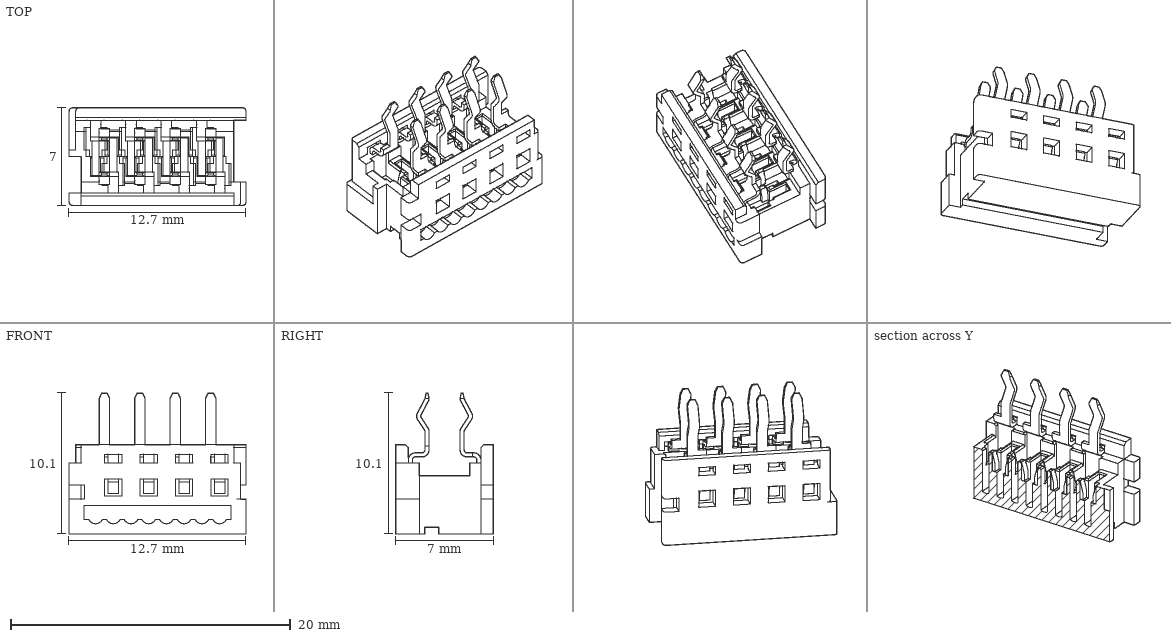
import cadquery as cq
import math

LENGTH = 12.67
DEPTH = 7.0
HALF_LENGTH = LENGTH / 2
HALF_DEPTH = DEPTH / 2
CORNER_RADIUS = 0.25

WALL_TOP = 6.41
STEP_TOP = 5.1
CORE_TOP = 4.2
FOOT_TOP = 2.51
NOTCH_TOP = 3.51
TOTAL_HEIGHT = 10.1

WALL_INNER_Y = 2.6
STEP_INNER_Y = 1.8
CORE_HALF_X = 5.46
LEFT_SHOULDER_X = 5.85
RIGHT_SHOULDER_X = 5.94
NOTCH_INNER_X = 5.22
KEY_WIDTH = 0.48
WALL_CHAMFER = 0.22
DIVIDER_CHAMFER = 0.11

UNDER_GROOVE_BACK = -0.42
UNDER_GROOVE_WIDTH = 0.99
UNDER_GROOVE_HEIGHT = 0.48

FRONT_OPENING_DEPTH = 0.95

WIRE_COUNT = 8
WIRE_PITCH = 1.27
CABLE_HALF_WIDTH = 5.25
CABLE_FLOOR = 1.05
CABLE_ROOF = 2.04
WIRE_GROOVE_WIDTH = 0.96
WIRE_GROOVE_DEPTH = 0.3

CONTACTS_PER_ROW = WIRE_COUNT // 2
CONTACT_PITCH = 2 * WIRE_PITCH
FRONT_CONTACT_XS = [
    (i - (CONTACTS_PER_ROW - 1) / 2) * CONTACT_PITCH + WIRE_PITCH / 2 for i in range(CONTACTS_PER_ROW)
]
PIN_OFFSET = -WIRE_PITCH / 2
METAL = 0.3
STRIP_WIDTH = 0.76
BEND_RADIUS = 0.2
KINK_RADIUS = 0.13
TIP_BEND_RADIUS = 0.05
LEG_Y = -WALL_INNER_Y + METAL / 2
PIN_Y = -1.25
ARM_Z = 5.68
STUB_TOP = 6.32
JOG_END_Y = -1.99
KINK_START_Z = 7.44
KINK_PEAK_Y = -1.9
KINK_PEAK_Z = 8.43
KINK_END_Z = 9.65
TIP_BASE_Z = 9.72
TIP_WIDTH = 0.39
TIP_THICKNESS = 0.14
LEG_END_Z = 2.9
LATCH_TOP_Z = 3.95
LATCH_PEAK_Z = 3.72
LATCH_PEAK_Y = -2.79
LATCH_END_Y = -2.56

WINDOW_WIDTH = 1.23
UPPER_WINDOW_TOP = 5.71
LOWER_WINDOW_BOTTOM = 2.72
LOWER_WINDOW_TOP = 3.94

CAVITY_END_Y = 2.07
CAVITY_WIDTH = 1.35
CAVITY_BEVEL = 0.14
CAVITY_MOUTH_WIDTH = CAVITY_WIDTH + 2 * CAVITY_BEVEL
CAVITY_THROAT_WIDTH = 0.89
NECK_LENGTH = 0.48
NECK_TAPER_HEIGHT = 0.89
CAVITY_FLOOR = LOWER_WINDOW_BOTTOM
SLOT_WIDTH = 0.52
SLOT_HALF_LENGTH = 1.34
SLOT_MOUTH_WIDTH = 0.72
SLOT_MOUTH_END_Y = 1.41
SLOT_MOUTH_DEPTH = 0.11
RIM_BEVEL = 0.11
RIM_WIDTH = CONTACT_PITCH - CAVITY_WIDTH


def block(x0, x1, y0, y1, z0, z1):
    """Box given by its two corners."""
    return cq.Workplane("XY").box(x1 - x0, y1 - y0, z1 - z0, centered=False).translate((x0, y0, z0))


def half_turn(shape):
    return shape.rotate((0, 0, 0), (0, 0, 1), 180)


def profile_along_y(points, y0, y1):
    """Prism with an XZ outline running from y0 to y1."""
    return cq.Workplane("XZ", origin=(0, y0, 0)).polyline(points).close().extrude(y0 - y1)


def profile_along_x(points, x0, x1):
    """Prism with a YZ outline running from x0 to x1."""
    return cq.Workplane("YZ", origin=(x0, 0, 0)).polyline(points).close().extrude(x1 - x0)


def bent_metal(path, radii, x0, x1):
    """Sheet strip of constant thickness along a YZ path; radii are the inside bend radii."""

    def direction(a, b):
        return cq.Vector(b[0] - a[0], b[1] - a[1], 0).normalized()

    def sideways(d):
        return cq.Vector(-d.y, d.x, 0) * (METAL / 2)

    left = []
    right = []
    for i, inside_radius in enumerate(radii, start=1):
        d_in = direction(path[i - 1], path[i])
        d_out = direction(path[i], path[i + 1])
        turn = d_in.cross(d_out).z
        radius = inside_radius + METAL / 2
        half_angle = d_in.getAngle(d_out) / 2
        reach = radius * math.tan(half_angle)
        corner = cq.Vector(*path[i])
        to_center = (d_out - d_in).normalized()
        center = corner + to_center * (radius / math.cos(half_angle))
        start = corner - d_in * reach
        end = corner + d_out * reach
        for side, sign in ((left, 1), (right, -1)):
            arc_radius = radius - sign * math.copysign(METAL / 2, turn)
            middle = center - to_center * arc_radius
            side.append((start + sideways(d_in) * sign, middle, end + sideways(d_out) * sign))

    first = cq.Vector(*path[0])
    last = cq.Vector(*path[-1])
    first_side = sideways(direction(path[0], path[1]))
    last_side = sideways(direction(path[-2], path[-1]))
    outline = cq.Workplane("YZ", origin=(x0, 0, 0)).moveTo(*(first + first_side).toTuple()[:2])
    for start, middle, end in left:
        outline = outline.lineTo(start.x, start.y)
        outline = outline.threePointArc((middle.x, middle.y), (end.x, end.y))
    for corner in (last + last_side, last - last_side):
        outline = outline.lineTo(corner.x, corner.y)
    for start, middle, end in reversed(right):
        outline = outline.lineTo(end.x, end.y)
        outline = outline.threePointArc((middle.x, middle.y), (start.x, start.y))
    outline = outline.lineTo(*(first - first_side).toTuple()[:2]).close()
    return outline.extrude(x1 - x0)


def housing_body():
    """Core, ledges, walls, feet and key, before any cavity is cut."""
    core = block(-CORE_HALF_X, CORE_HALF_X, -WALL_INNER_Y, WALL_INNER_Y, 0, CORE_TOP)

    back_wall = block(-LEFT_SHOULDER_X, HALF_LENGTH, WALL_INNER_Y, HALF_DEPTH, 0, WALL_TOP)
    back_wall = back_wall.edges("|Z and >Y").fillet(CORNER_RADIUS)
    back_ledge = block(-LEFT_SHOULDER_X, CORE_HALF_X, STEP_INNER_Y, WALL_INNER_Y, 0, STEP_TOP)
    left_shoulder = block(-LEFT_SHOULDER_X, 0, 0, WALL_INNER_Y, 0, CORE_TOP)
    left_foot = block(-HALF_LENGTH, 0, 0, HALF_DEPTH, 0, FOOT_TOP)
    left_foot = left_foot.edges("|Z and <X and >Y").fillet(CORNER_RADIUS)
    left_key = block(-HALF_LENGTH, 0, 0, KEY_WIDTH, 0, CORE_TOP)

    front_wall = block(-HALF_LENGTH, RIGHT_SHOULDER_X, -HALF_DEPTH, -WALL_INNER_Y, 0, STEP_TOP)
    front_wall = front_wall.edges("|Z and <Y").fillet(CORNER_RADIUS)
    front_rail = block(-CORE_HALF_X, CORE_HALF_X, -HALF_DEPTH, -WALL_INNER_Y, 0, WALL_TOP)
    front_ledge = block(-CORE_HALF_X, RIGHT_SHOULDER_X, -WALL_INNER_Y, -STEP_INNER_Y, 0, STEP_TOP)
    right_foot = block(0, HALF_LENGTH, -HALF_DEPTH, -STEP_INNER_Y, 0, FOOT_TOP)
    right_foot = right_foot.edges("|Z and >X and <Y").fillet(CORNER_RADIUS)

    body = core
    for piece in (back_wall, back_ledge, left_shoulder, left_foot, left_key,
                  front_wall, front_rail, front_ledge, right_foot):
        body = body.union(piece)
    return body


def outside_cuts():
    """Front half of the cuts that repeat on the back: wall chamfer and side notch."""
    chamfer = profile_along_x(
        [
            (-WALL_INNER_Y, WALL_TOP),
            (-WALL_INNER_Y - WALL_CHAMFER, WALL_TOP),
            (-WALL_INNER_Y, WALL_TOP - WALL_CHAMFER),
        ],
        -HALF_LENGTH, HALF_LENGTH,
    )
    notch = block(-HALF_LENGTH, -NOTCH_INNER_X, -HALF_DEPTH, -WALL_INNER_Y, FOOT_TOP, NOTCH_TOP)
    return chamfer.union(notch)


def wire_groove(x, y0, y1):
    """Round bar that shapes the bed of the wire at x."""
    half_width = WIRE_GROOVE_WIDTH / 2
    radius = (half_width ** 2 + WIRE_GROOVE_DEPTH ** 2) / (2 * WIRE_GROOVE_DEPTH)
    axis_z = CABLE_FLOOR - WIRE_GROOVE_DEPTH + radius
    return cq.Workplane("XZ", origin=(x, y0, axis_z)).circle(radius).extrude(y0 - y1)


def cable_pocket():
    """Front pocket for the ribbon cable, with one round groove in its floor under each wire."""
    pocket_end = -HALF_DEPTH + FRONT_OPENING_DEPTH
    pocket = block(-CABLE_HALF_WIDTH, CABLE_HALF_WIDTH, -HALF_DEPTH, pocket_end, CABLE_FLOOR, CABLE_ROOF)
    for i in range(WIRE_COUNT):
        x = (i - (WIRE_COUNT - 1) / 2) * WIRE_PITCH
        pocket = pocket.union(wire_groove(x, -HALF_DEPTH, pocket_end))
    return pocket


def bevelled_cavity(x, y0, y1, top_z):
    """Cavity with bevelled top edges, under a surface at top_z."""
    half = CAVITY_WIDTH / 2
    mouth = CAVITY_MOUTH_WIDTH / 2
    outline = [
        (x - mouth, top_z), (x - half, top_z - CAVITY_BEVEL), (x - half, CAVITY_FLOOR),
        (x + half, CAVITY_FLOOR), (x + half, top_z - CAVITY_BEVEL), (x + mouth, top_z),
    ]
    return profile_along_y(outline, y0, y1)


def cavity_neck(x):
    """Inner end of a cavity, with side walls that lean in to the throat and then drop straight."""
    top = CAVITY_WIDTH / 2
    throat = CAVITY_THROAT_WIDTH / 2
    throat_z = CORE_TOP - NECK_TAPER_HEIGHT
    outline = [
        (x - top, CORE_TOP), (x - throat, throat_z), (x - throat, CAVITY_FLOOR),
        (x + throat, CAVITY_FLOOR), (x + throat, throat_z), (x + top, CORE_TOP),
    ]
    return profile_along_y(outline, -NECK_LENGTH, 0)


def blade_slot(x):
    """Slot from the core top down to a round wire bed, with bevelled edges around its mouth."""
    half_slot = SLOT_WIDTH / 2
    half_mouth = SLOT_MOUTH_WIDTH / 2
    slot = block(x - half_slot, x + half_slot, -SLOT_HALF_LENGTH, SLOT_HALF_LENGTH, 0, CORE_TOP)
    bed = wire_groove(x, -SLOT_HALF_LENGTH, SLOT_HALF_LENGTH)
    above_bed = block(x - half_slot, x + half_slot, -SLOT_HALF_LENGTH, SLOT_HALF_LENGTH,
                      CABLE_FLOOR, CORE_TOP)
    mouth = (
        cq.Workplane("XY", origin=(x, SLOT_MOUTH_END_Y / 2, CORE_TOP))
        .rect(SLOT_MOUTH_WIDTH, SLOT_MOUTH_END_Y)
        .workplane(offset=-SLOT_MOUTH_DEPTH)
        .center(0, (SLOT_HALF_LENGTH - SLOT_MOUTH_END_Y) / 2)
        .rect(SLOT_WIDTH, SLOT_HALF_LENGTH)
        .loft()
    )
    rim_end = min(x + RIM_WIDTH / 2, FRONT_CONTACT_XS[-1] + half_mouth)
    rim = profile_along_x(
        [(0, CORE_TOP), (RIM_BEVEL, CORE_TOP), (0, CORE_TOP - RIM_BEVEL)], x - RIM_WIDTH / 2, rim_end
    )
    return slot.intersect(bed).union(above_bed).union(mouth).union(rim)


def contact_cuts(x):
    """Everything cut for one front contact: windows, cavity and the slot down to the cable."""
    half_window = WINDOW_WIDTH / 2
    cuts = block(x - half_window, x + half_window, -HALF_DEPTH, -WALL_INNER_Y, STEP_TOP, UPPER_WINDOW_TOP)
    lower_window = block(x - half_window, x + half_window, -HALF_DEPTH, -HALF_DEPTH + FRONT_OPENING_DEPTH,
                         LOWER_WINDOW_BOTTOM, LOWER_WINDOW_TOP)
    outer_cavity = bevelled_cavity(x, -CAVITY_END_Y, -STEP_INNER_Y, STEP_TOP)
    inner_cavity = bevelled_cavity(x, -STEP_INNER_Y, -NECK_LENGTH, CORE_TOP)
    for cut in (lower_window, outer_cavity, inner_cavity, cavity_neck(x), blade_slot(x)):
        cuts = cuts.union(cut)
    return cuts


def divider_chamfer(x):
    """Bevel on the edge of the front ledge between the cavity at x and the next one."""
    return profile_along_x(
        [
            (-STEP_INNER_Y, STEP_TOP),
            (-STEP_INNER_Y - DIVIDER_CHAMFER, STEP_TOP),
            (-STEP_INNER_Y, STEP_TOP - DIVIDER_CHAMFER),
        ],
        x + CAVITY_MOUTH_WIDTH / 2, x + CONTACT_PITCH - CAVITY_MOUTH_WIDTH / 2,
    )


def contact(x):
    """One front contact: leg with latch bump, arm with upright stub, and the kinked pin beside it."""
    strip = bent_metal(
        [(LEG_Y, LATCH_TOP_Z), (LEG_Y, ARM_Z), (PIN_Y, ARM_Z), (PIN_Y, STUB_TOP)],
        [BEND_RADIUS, BEND_RADIUS],
        x - STRIP_WIDTH / 2, x + STRIP_WIDTH / 2,
    )
    face_y = -WALL_INNER_Y
    latch = (
        cq.Workplane("YZ", origin=(x - STRIP_WIDTH / 2, 0, 0))
        .moveTo(face_y, LATCH_TOP_Z)
        .lineTo(LATCH_PEAK_Y, LATCH_PEAK_Z)
        .threePointArc((face_y, (LATCH_PEAK_Z + LEG_END_Z) / 2), (LATCH_END_Y, LEG_END_Z))
        .lineTo(face_y + METAL, LEG_END_Z)
        .lineTo(face_y + METAL, LATCH_TOP_Z)
        .close()
        .extrude(STRIP_WIDTH)
    )
    pin_x = x + PIN_OFFSET
    pin = bent_metal(
        [
            (JOG_END_Y, ARM_Z), (PIN_Y, ARM_Z), (PIN_Y, KINK_START_Z),
            (KINK_PEAK_Y, KINK_PEAK_Z), (PIN_Y, KINK_END_Z), (PIN_Y, TIP_BASE_Z),
        ],
        [BEND_RADIUS, TIP_BEND_RADIUS, KINK_RADIUS, TIP_BEND_RADIUS],
        pin_x - STRIP_WIDTH / 2, pin_x + STRIP_WIDTH / 2,
    )
    tip = (
        cq.Workplane("XY", origin=(pin_x, PIN_Y, TIP_BASE_Z))
        .rect(STRIP_WIDTH, METAL)
        .workplane(offset=TOTAL_HEIGHT - TIP_BASE_Z)
        .rect(TIP_WIDTH, TIP_THICKNESS)
        .loft()
    )
    return strip.union(latch).union(pin).union(tip)


housing = housing_body()
under_groove = block(-HALF_LENGTH, HALF_LENGTH, UNDER_GROOVE_BACK - UNDER_GROOVE_WIDTH, UNDER_GROOVE_BACK,
                     0, UNDER_GROOVE_HEIGHT)
housing = housing.cut(under_groove).cut(cable_pocket())

row_cuts = [outside_cuts()]
row_cuts += [contact_cuts(x) for x in FRONT_CONTACT_XS]
row_cuts += [divider_chamfer(x) for x in FRONT_CONTACT_XS[:-1]]
for cut in row_cuts:
    housing = housing.cut(cut).cut(half_turn(cut))

end_x = FRONT_CONTACT_XS[-1]
neck_filler = block(end_x + CAVITY_THROAT_WIDTH / 2, end_x + CAVITY_WIDTH / 2, -NECK_LENGTH, 0,
                    CAVITY_FLOOR, CORE_TOP)

result = housing.union(neck_filler)
for x in FRONT_CONTACT_XS:
    front_contact = contact(x)
    result = result.union(front_contact).union(half_turn(front_contact))